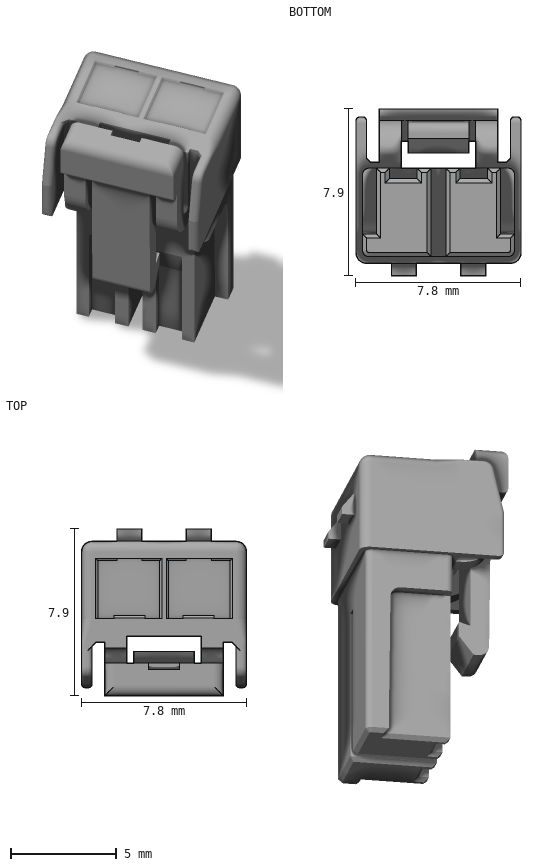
import cadquery as cq
import math


EDGE_ROUND = 0.5
SMALL_ROUND = 0.2
OVERLAP = 0.15
ARC_MID_OFFSET = 1 - math.sqrt(0.5)

TOTAL_HEIGHT = 15.1
BAR_HALF_WIDTH = 2.81
BAR_BOTTOM = 12.88
BAR_BACK = 1.54
BAR_UPPER_ROUND = 0.47
BAR_LOWER_ROUND = 0.23
BAR_NOTCH_HALF_WIDTH = 0.72
BAR_NOTCH_DEPTH = 0.3
LEVER_HALF_WIDTH = 1.43
LEVER_FRONT = 0.56
LEVER_DRAFT = 0.09
LEVER_BOTTOM = 5.09
LEVER_ROUND = 0.5
GAP_ROUND = 0.1
NOSE_BACK = 2.1
NOSE_TOP = 6.7
NOSE_ROOT = 6.54
NOSE_LOWER = 5.98
NOSE_TOE = 1.4

HOOD_WIDTH = 7.8
HOOD_HALF_WIDTH = HOOD_WIDTH / 2
HOOD_BOTTOM = 9.21
HOOD_TOP = 14.03
HOOD_FRONT = 2.52
HOOD_BACK = 7.31
BLEND_START = 3.61
SLOT_HALF_WIDTH = 1.75

WING_INNER = 3.4
WING_FRONT = 0.38
WING_SLOPE_BOTTOM = 11.45
WING_CREST = 0.98
WING_BOTTOM_ROUND = 0.3
GUSSET = 0.38
GUSSET_INNER = 3.22

RAIL_FRONT = 2.25
ARM_BEND_RADIUS = RAIL_FRONT - LEVER_FRONT
ARM_THICKNESS = BAR_BACK - LEVER_FRONT

WINDOW_INNER = 0.1
WINDOW_OUTER = 3.23
WINDOW_FRONT = 3.65
WINDOW_BACK = 6.5
WINDOW_DEPTH = 0.1
TAB_INNER = 0.9
TAB_OUTER = 2.37
TAB_LENGTH = 0.14

HOOK_INNER = 1.04
HOOK_WIDTH = 1.2
HOOK_OUTER = HOOK_INNER + HOOK_WIDTH
HOOK_BACK = 7.9
HOOK_BOTTOM = 11.43
HOOK_TIP_TOP = 11.81
HOOK_ROOT_TOP = 12.55

LEG_HALF_WIDTH = 3.6
LEG_FRONT = 2.81
LEG_BACK = 6.99
LEG_ROUND = 0.3
LEG_CHAMFER = 0.2
LEG_GAP_HALF_WIDTH = 0.35
LEG_GAP_TOP = 7.41
SIDE_RECESS_INNER = 2.93
SIDE_RECESS_TOP = 7.38
SIDE_RECESS_BACK = 5.83
SIDE_RECESS_DRAFT = 0.09
FRONT_RECESS_INNER = 1.01
FRONT_RECESS_OUTER = 2.33
FRONT_RECESS_DEPTH = 0.5
FRONT_RECESS_TOP = 5.98
FRONT_RECESS_SLOPE_END = 4.42


def box(x0, x1, y0, y1, z0, z1):
    return cq.Workplane("XY").box(x1 - x0, y1 - y0, z1 - z0, centered=False).translate((x0, y0, z0))


def side_sketch(x):
    """Workplane at the given X whose local axes are Y and Z."""
    return cq.Workplane("YZ", origin=(x, 0, 0))


def both_sides(shape):
    return shape.union(shape.mirror("YZ"))


def section(y, radius):
    """Hood cross-section at the given Y, with rounded top corners."""
    w = HOOD_HALF_WIDTH
    bend = radius * ARC_MID_OFFSET
    return (
        cq.Workplane("XZ", origin=(0, y, 0))
        .moveTo(-w, HOOD_BOTTOM)
        .lineTo(w, HOOD_BOTTOM)
        .lineTo(w, HOOD_TOP - radius)
        .threePointArc((w - bend, HOOD_TOP - bend), (w - radius, HOOD_TOP))
        .lineTo(radius - w, HOOD_TOP)
        .threePointArc((bend - w, HOOD_TOP - bend), (-w, HOOD_TOP - radius))
        .close()
        .wire()
        .val()
    )


def hood():
    rear = box(-HOOD_HALF_WIDTH, HOOD_HALF_WIDTH, BLEND_START, HOOD_BACK, HOOD_BOTTOM, HOOD_TOP)
    rear = rear.edges("(>Y and |Z) or (>Z and (not <Y))").fillet(EDGE_ROUND)
    blend = cq.Solid.makeLoft([section(BLEND_START, EDGE_ROUND), section(HOOD_FRONT, SMALL_ROUND)], True)
    rails = box(-BAR_HALF_WIDTH, BAR_HALF_WIDTH, RAIL_FRONT, HOOD_FRONT + OVERLAP, HOOD_BOTTOM, HOOD_TOP)
    slot = box(-SLOT_HALF_WIDTH, SLOT_HALF_WIDTH, 0, LEG_FRONT, HOOD_BOTTOM, HOOD_TOP)
    return rear.union(cq.Workplane(blend)).union(rails).cut(slot)


def wing():
    plate = (
        side_sketch(WING_INNER)
        .moveTo(HOOD_FRONT, HOOD_BOTTOM)
        .lineTo(WING_FRONT, HOOD_BOTTOM)
        .lineTo(WING_FRONT, WING_SLOPE_BOTTOM)
        .lineTo(WING_CREST, HOOD_TOP)
        .lineTo(HOOD_FRONT, HOOD_TOP)
        .close()
        .extrude(HOOD_HALF_WIDTH - WING_INNER)
    )
    plate = plate.faces(">Z").edges("<Y").fillet(EDGE_ROUND)
    round_bottom = plate.faces("<Z").edges("<Y").fillet(WING_BOTTOM_ROUND)
    round_outline = plate.faces("<X or >X").edges("not(>Y or <Z)").fillet(SMALL_ROUND)
    plate = round_outline.intersect(round_bottom)
    gusset = (
        cq.Workplane("XY", origin=(0, 0, HOOD_BOTTOM))
        .polyline([
            (GUSSET_INNER, HOOD_FRONT),
            (GUSSET_INNER + GUSSET, HOOD_FRONT - GUSSET),
            (GUSSET_INNER + GUSSET, HOOD_FRONT),
        ])
        .close()
        .extrude(HOOD_TOP - HOOD_BOTTOM)
    )
    return plate.union(gusset)


def window():
    """Shallow recess: three bevelled walls, a plain hook-wide stretch at the back, a tab at the front."""
    floor = HOOD_TOP - WINDOW_DEPTH
    recess = box(WINDOW_INNER, WINDOW_OUTER, WINDOW_FRONT, WINDOW_BACK, floor, HOOD_TOP + OVERLAP)
    recess = recess.faces("<Z").edges("not <Y").chamfer(WINDOW_DEPTH)
    recess = recess.union(box(HOOK_INNER, HOOK_OUTER, WINDOW_FRONT, WINDOW_BACK, floor, HOOD_TOP))
    tab = (
        side_sketch(TAB_INNER)
        .polyline([
            (WINDOW_FRONT, floor),
            (WINDOW_FRONT + TAB_LENGTH, floor),
            (WINDOW_FRONT + TAB_LENGTH - WINDOW_DEPTH, HOOD_TOP),
            (WINDOW_FRONT, HOOD_TOP),
        ])
        .close()
        .extrude(TAB_OUTER - TAB_INNER)
    )
    return recess.cut(tab)


def hook():
    return (
        side_sketch(HOOK_INNER)
        .polyline([
            (HOOD_BACK - OVERLAP, HOOK_BOTTOM),
            (HOOK_BACK, HOOK_BOTTOM),
            (HOOK_BACK, HOOK_TIP_TOP),
            (HOOD_BACK, HOOK_ROOT_TOP),
            (HOOD_BACK - OVERLAP, HOOK_ROOT_TOP),
        ])
        .close()
        .extrude(HOOK_WIDTH)
    )


def press_bar():
    block = box(-BAR_HALF_WIDTH, BAR_HALF_WIDTH, 0, BAR_BACK, BAR_BOTTOM, TOTAL_HEIGHT)
    round_sides = block.edges("|Y and >Z").fillet(BAR_UPPER_ROUND)
    round_front = block.faces("<Y").edges(">Z").fillet(BAR_UPPER_ROUND)
    round_front = round_front.faces("<Y").edges("<Z").fillet(BAR_LOWER_ROUND)
    return round_front.intersect(round_sides)


def lever():
    foot_front = LEVER_FRONT + LEVER_DRAFT
    bend = LEVER_ROUND * ARC_MID_OFFSET
    return (
        side_sketch(-LEVER_HALF_WIDTH)
        .moveTo(LEVER_FRONT, BAR_BOTTOM + OVERLAP)
        .lineTo(foot_front, LEVER_BOTTOM + LEVER_ROUND)
        .threePointArc((foot_front + bend, LEVER_BOTTOM + bend), (foot_front + LEVER_ROUND, LEVER_BOTTOM))
        .lineTo(NOSE_TOE, LEVER_BOTTOM)
        .lineTo(NOSE_BACK, NOSE_LOWER)
        .lineTo(NOSE_BACK, NOSE_TOP)
        .lineTo(BAR_BACK, NOSE_ROOT)
        .lineTo(BAR_BACK, BAR_BOTTOM + OVERLAP)
        .close()
        .extrude(2 * LEVER_HALF_WIDTH)
    )


def arm():
    """Arm that hangs from the bar and bends back into the hood rail."""
    trough = HOOD_BOTTOM + ARM_THICKNESS
    inner_radius = RAIL_FRONT - SMALL_ROUND - BAR_BACK
    outer_bend = ARM_BEND_RADIUS * ARC_MID_OFFSET
    inner_bend = inner_radius * ARC_MID_OFFSET
    corner_bend = SMALL_ROUND * ARC_MID_OFFSET
    return (
        side_sketch(SLOT_HALF_WIDTH)
        .moveTo(LEVER_FRONT, BAR_BOTTOM + OVERLAP)
        .lineTo(LEVER_FRONT, HOOD_BOTTOM + ARM_BEND_RADIUS)
        .threePointArc((LEVER_FRONT + outer_bend, HOOD_BOTTOM + outer_bend), (RAIL_FRONT, HOOD_BOTTOM))
        .lineTo(RAIL_FRONT + OVERLAP, HOOD_BOTTOM)
        .lineTo(RAIL_FRONT + OVERLAP, trough + SMALL_ROUND)
        .lineTo(RAIL_FRONT, trough + SMALL_ROUND)
        .threePointArc((RAIL_FRONT - corner_bend, trough + corner_bend), (RAIL_FRONT - SMALL_ROUND, trough))
        .threePointArc((BAR_BACK + inner_bend, trough + inner_bend), (BAR_BACK, trough + inner_radius))
        .lineTo(BAR_BACK, BAR_BOTTOM + OVERLAP)
        .close()
        .extrude(BAR_HALF_WIDTH - SLOT_HALF_WIDTH)
    )


def latch():
    """Press bar, lever and arms in one piece, with rounded gap ends and a notch in the back of the bar."""
    body = press_bar().union(lever()).union(both_sides(arm()))
    gap_ends = cq.selectors.BoxSelector(
        (-SLOT_HALF_WIDTH - GAP_ROUND, 0, BAR_BOTTOM - GAP_ROUND),
        (SLOT_HALF_WIDTH + GAP_ROUND, BAR_BACK, BAR_BOTTOM + GAP_ROUND),
    )
    body = body.edges("|Y").edges(gap_ends).fillet(GAP_ROUND)
    notch = box(
        -BAR_NOTCH_HALF_WIDTH, BAR_NOTCH_HALF_WIDTH,
        BAR_BACK - BAR_NOTCH_DEPTH, BAR_BACK, BAR_BOTTOM, TOTAL_HEIGHT,
    )
    return body.cut(notch)


def side_recess():
    """Step along the outer front of a leg, rounded at its upper back corner."""
    foot = SIDE_RECESS_BACK + SIDE_RECESS_DRAFT
    return (
        side_sketch(SIDE_RECESS_INNER)
        .polyline([
            (LEG_FRONT, 0),
            (foot, 0),
            (SIDE_RECESS_BACK, SIDE_RECESS_TOP),
            (LEG_FRONT, SIDE_RECESS_TOP),
        ])
        .close()
        .extrude(LEG_HALF_WIDTH - SIDE_RECESS_INNER)
        .faces(">Z")
        .edges(">Y")
        .fillet(EDGE_ROUND)
    )


def front_recess():
    """Groove in the front of a leg with a sloped upper end."""
    back = LEG_FRONT + FRONT_RECESS_DEPTH
    return (
        side_sketch(FRONT_RECESS_INNER)
        .polyline([
            (LEG_FRONT, 0),
            (back, 0),
            (back, FRONT_RECESS_SLOPE_END),
            (LEG_FRONT, FRONT_RECESS_TOP),
        ])
        .close()
        .extrude(FRONT_RECESS_OUTER - FRONT_RECESS_INNER)
    )


def legs():
    block = box(-LEG_HALF_WIDTH, LEG_HALF_WIDTH, LEG_FRONT, LEG_BACK, 0, HOOD_BOTTOM + OVERLAP)
    block = block.edges("|Z").fillet(LEG_ROUND)
    gap = box(-LEG_GAP_HALF_WIDTH, LEG_GAP_HALF_WIDTH, LEG_FRONT, LEG_BACK, 0, LEG_GAP_TOP)
    block = block.cut(gap)
    block = block.cut(both_sides(side_recess()))
    block = block.cut(both_sides(front_recess()))
    return block.faces("<Z").edges().chamfer(LEG_CHAMFER)


result = hood().cut(both_sides(window()))
for feature in (both_sides(wing()), both_sides(hook()), latch(), legs()):
    result = result.union(feature)